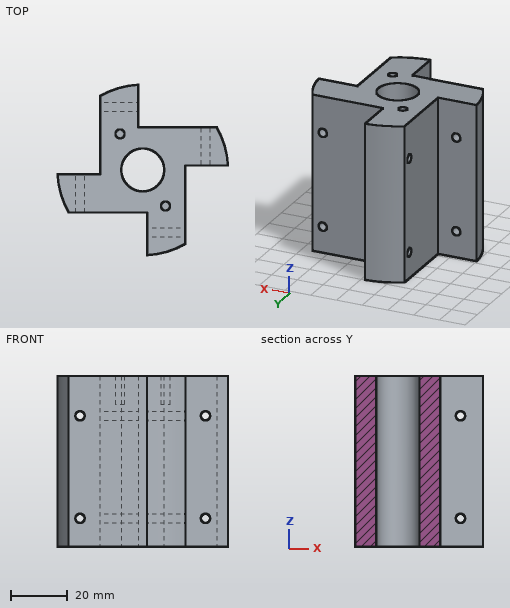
import cadquery as cq

length = 60.0
tip_radius = 30.0
hub_half_width = 15.0
arm_inner_offset = 1.5
bore_diameter = 15.0
small_hole_diameter = 3.2
arm_hole_radius = 22.0
arm_hole_heights = (10.0, 46.0)
pin_hole_x = 8.0
pin_hole_y = 12.65
pin_hole_depth = 10.0
arm_count = 4

arm_width = hub_half_width - arm_inner_offset
arm_center_offset = (hub_half_width + arm_inner_offset) / 2


def make_arm():
    """Offset arm along +X with a round tip, cross-drilled through its flanks."""
    bar = (
        cq.Workplane("XY")
        .center(tip_radius / 2, arm_center_offset)
        .rect(tip_radius, arm_width)
        .extrude(length)
    )
    envelope = cq.Workplane("XY").circle(tip_radius).extrude(length)
    arm = bar.intersect(envelope)
    holes = (
        cq.Workplane("XZ")
        .pushPoints([(arm_hole_radius, height) for height in arm_hole_heights])
        .circle(small_hole_diameter / 2)
        .extrude(-tip_radius)
    )
    return arm.cut(holes)


hub_width = 2 * hub_half_width
body = cq.Workplane("XY").rect(hub_width, hub_width).extrude(length)
arm = make_arm()
for index in range(arm_count):
    angle = index * 360 / arm_count
    body = body.union(arm.rotate((0, 0, 0), (0, 0, 1), angle))

bore = cq.Workplane("XY").circle(bore_diameter / 2).extrude(length)

pin_holes = (
    cq.Workplane("XY", origin=(0, 0, length))
    .pushPoints([(-pin_hole_x, pin_hole_y), (pin_hole_x, -pin_hole_y)])
    .circle(small_hole_diameter / 2)
    .extrude(-pin_hole_depth)
)

result = body.cut(bore).cut(pin_holes)